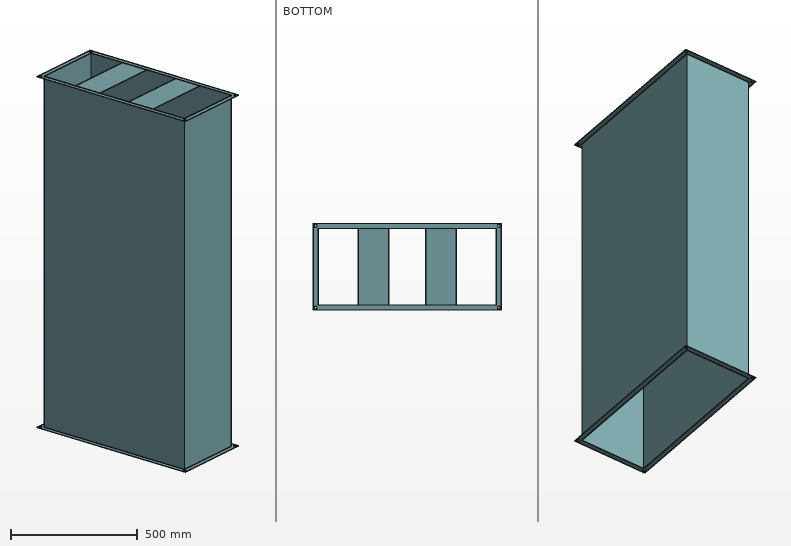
import cadquery as cq

height = 1500.0
flange_length = 742.0
flange_depth = 342.0

inner_length = 700.0
inner_depth = 300.0
sheet = 1.0
duct_length = inner_length + 2 * sheet
duct_depth = inner_depth + 2 * sheet

flange_thickness = 1.0
flange_width = (flange_length - duct_length) / 2
corner_hole_diameter = 10.0

splitter_width = 122.0
splitter_pitch = 265.0
splitter_thickness = 1.0


def rectangular_tube(outer_length, outer_depth, bore_length, bore_depth, tube_height):
    """Upright rectangular tube standing on Z = 0, centred on the Z axis."""
    return (
        cq.Workplane("XY")
        .rect(outer_length, outer_depth)
        .rect(bore_length, bore_depth)
        .extrude(tube_height)
    )


def make_duct():
    """Plain sheet metal duct, running the full height inside both flanges."""
    return rectangular_tube(duct_length, duct_depth, inner_length, inner_depth, height)


def make_flange(bottom):
    """Flat frame around the duct with one bolt hole at each corner."""
    frame = rectangular_tube(flange_length, flange_depth, duct_length, duct_depth, flange_thickness)
    holes = (
        cq.Workplane("XY")
        .rect(flange_length - flange_width, flange_depth - flange_width, forConstruction=True)
        .vertices()
        .circle(corner_hole_diameter / 2)
        .extrude(flange_thickness)
    )
    return frame.cut(holes).translate((0, 0, bottom))


def make_splitter(center_x):
    """Thin plate that closes one strip of the duct mouth, flush with the top."""
    return (
        cq.Workplane("XY")
        .box(splitter_width, inner_depth, splitter_thickness, centered=(True, True, False))
        .translate((center_x, 0, height - splitter_thickness))
    )


duct = make_duct()
flanges = [make_flange(bottom) for bottom in (0, height - flange_thickness)]
splitters = [make_splitter(side * splitter_pitch / 2) for side in (-1, 1)]

result = cq.Compound.makeCompound(
    [
        duct.val(),
        *[flange.val() for flange in flanges],
        *[splitter.val() for splitter in splitters],
    ]
)